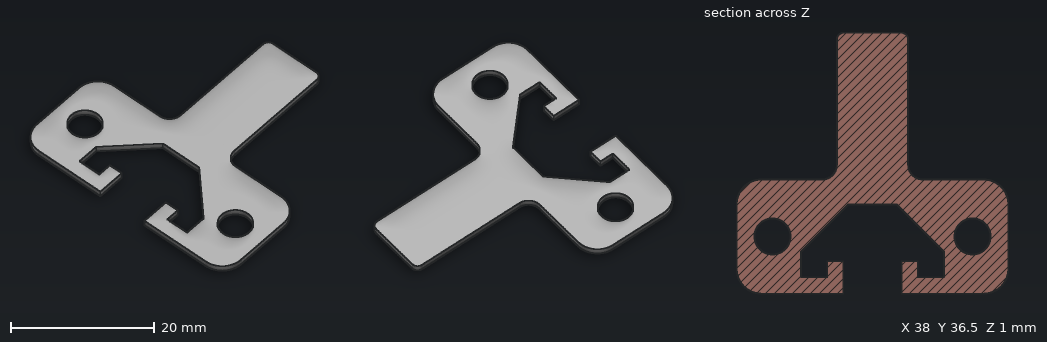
import cadquery as cq

plate_width = 38.0
thickness = 1.0
total_height = 36.5
body_height = 16.0
body_corner_radius = 3.5

tab_width = 10.0
tab_corner_radius = 1.0
tab_root_radius = 2.0

hole_diameter = 5.0
hole_spacing = 27.95
hole_height = 8.0

opening_width = 20.0
opening_top_width = 6.75
opening_top = 12.45
opening_floor = 2.3
mouth_width = 8.17
hook_width = 2.25
hook_top = 4.55

bottom = -total_height / 2


def upright_block(width, low, high):
    """Plate-thick rectangle centred on X, between two heights above the bottom edge."""
    return (
        cq.Workplane("XY")
        .center(0, bottom + (low + high) / 2)
        .rect(width, high - low)
        .extrude(thickness)
    )


def make_plate():
    """T-shaped plate with rounded corners and filleted tab roots."""
    body = upright_block(plate_width, 0, body_height).edges("|Z").fillet(body_corner_radius)
    tab = upright_block(tab_width, body_height / 2, total_height)
    tab = tab.edges("|Z and >Y").fillet(tab_corner_radius)
    tab_roots = cq.selectors.BoxSelector(
        (-tab_width, bottom + body_height - thickness, -thickness),
        (tab_width, bottom + body_height + thickness, 2 * thickness),
    )
    return body.union(tab).edges("|Z").edges(tab_roots).fillet(tab_root_radius)


def make_rail_opening():
    """Mirror-symmetric cutter for the rail pocket and its mouth."""
    half_mouth = mouth_width / 2
    half_top = opening_top_width / 2
    half_width = opening_width / 2
    hook_outside = half_mouth + hook_width
    shoulder = opening_top - (half_width - half_top)
    right_side = [
        (half_mouth, 0),
        (half_mouth, hook_top),
        (hook_outside, hook_top),
        (hook_outside, opening_floor),
        (half_width, opening_floor),
        (half_width, shoulder),
        (half_top, opening_top),
    ]
    left_side = [(-x, y) for x, y in reversed(right_side)]
    return (
        cq.Workplane("XY", origin=(0, bottom, 0))
        .polyline(right_side + left_side)
        .close()
        .extrude(thickness)
    )


def make_mounting_holes():
    """Cutters for the pair of through holes beside the opening."""
    return (
        cq.Workplane("XY", origin=(0, bottom + hole_height, 0))
        .pushPoints([(-hole_spacing / 2, 0), (hole_spacing / 2, 0)])
        .circle(hole_diameter / 2)
        .extrude(thickness)
    )


result = make_plate().cut(make_rail_opening()).cut(make_mounting_holes())